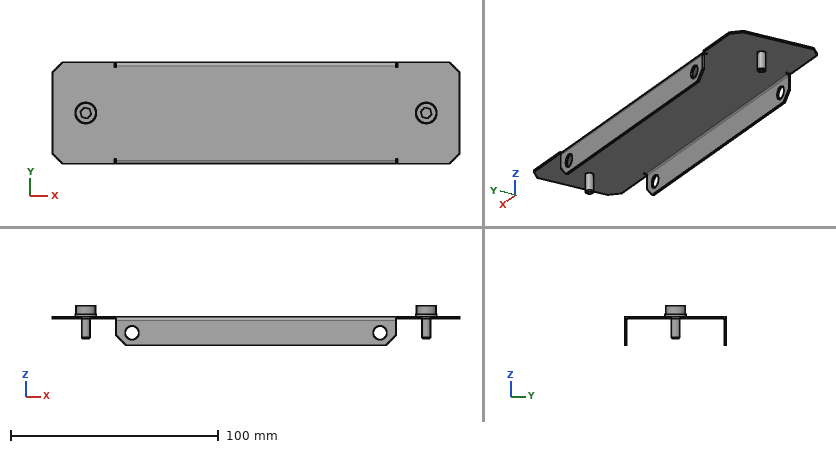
import cadquery as cq
import math

plate_length = 196.0
plate_width = 49.0
sheet_thickness = 1.0
plate_corner_chamfer = 4.9

flange_length = 134.8
flange_height = 14.0
flange_corner_chamfer = 4.9
bend_inner_radius = 0.8
bend_outer_radius = bend_inner_radius + sheet_thickness

relief_slit_width = 0.5
relief_slit_depth = 2.4

flange_hole_diameter = 6.5
flange_hole_spacing = 119.4
flange_hole_drop = 7.8

screw_spacing = 163.9
shank_diameter = 4.1
shank_length = 11.8
shank_tip_chamfer = 0.5
head_diameter = 9.6
head_height = 4.1
socket_across_flats = 4.7
socket_depth = 3.0
socket_turn = 45.0

washer_diameter = 10.2
washer_thickness = 1.2

screw_positions = [(-screw_spacing / 2, 0), (screw_spacing / 2, 0)]


def make_flat_sheet():
    """Flat sheet with chamfered corners and a bore for each screw."""
    return (
        cq.Workplane("XY")
        .box(plate_length, plate_width, sheet_thickness, centered=(True, True, False))
        .translate((0, 0, -sheet_thickness))
        .edges("|Z")
        .chamfer(plate_corner_chamfer)
        .faces(">Z")
        .workplane(origin=(0, 0, 0))
        .pushPoints(screw_positions)
        .hole(shank_diameter)
    )


def make_bend_clearance(side):
    """Edge strip given up to the bend, with a relief slit at each end."""
    edge_y = side * plate_width / 2
    strip = cq.Workplane("XY").box(flange_length, 2 * bend_outer_radius, 2 * sheet_thickness)
    slit_offset = (flange_length + relief_slit_width) / 2
    slits = (
        cq.Workplane("XY")
        .pushPoints([(-slit_offset, 0), (slit_offset, 0)])
        .box(relief_slit_width, 2 * relief_slit_depth, 2 * sheet_thickness)
    )
    return strip.union(slits).translate((0, edge_y, -sheet_thickness / 2))


def make_flange():
    """Bend and downward flange along the -Y edge, with clipped corners and two holes."""
    outer_y = -plate_width / 2
    inner_y = outer_y + sheet_thickness
    bend_y = outer_y + bend_outer_radius
    bend_z = -bend_outer_radius
    diagonal = math.sqrt(0.5)
    flange = (
        cq.Workplane("YZ")
        .moveTo(bend_y, 0)
        .threePointArc(
            (bend_y - bend_outer_radius * diagonal, bend_z + bend_outer_radius * diagonal),
            (outer_y, bend_z),
        )
        .lineTo(outer_y, -flange_height)
        .lineTo(inner_y, -flange_height)
        .lineTo(inner_y, bend_z)
        .threePointArc(
            (bend_y - bend_inner_radius * diagonal, bend_z + bend_inner_radius * diagonal),
            (bend_y, -sheet_thickness),
        )
        .close()
        .extrude(flange_length / 2, both=True)
        .faces("<X or >X")
        .edges("<Z")
        .chamfer(flange_corner_chamfer)
    )
    holes = (
        cq.Workplane("XZ", origin=(0, 0, -flange_hole_drop))
        .pushPoints([(-flange_hole_spacing / 2, 0), (flange_hole_spacing / 2, 0)])
        .circle(flange_hole_diameter / 2)
        .extrude(plate_width)
    )
    return flange.cut(holes)


def make_plate():
    """Sheet with both flanges, the +Y one mirrored from the -Y one."""
    plate = make_flat_sheet()
    front_flange = make_flange()
    for side, flange in ((-1, front_flange), (1, front_flange.mirror("XZ"))):
        plate = plate.cut(make_bend_clearance(side)).union(flange)
    return plate


def make_washer():
    """Plain ring around the shank, resting on the plate."""
    return (
        cq.Workplane("XY")
        .circle(washer_diameter / 2)
        .circle(shank_diameter / 2)
        .extrude(washer_thickness)
    )


def make_screw():
    """Socket head screw whose head rests on the washer."""
    shank = (
        cq.Workplane("XY")
        .circle(shank_diameter / 2)
        .extrude(-shank_length)
        .faces("<Z")
        .chamfer(shank_tip_chamfer)
    )
    head = cq.Workplane("XY").circle(head_diameter / 2).extrude(head_height)
    socket_corner_diameter = socket_across_flats / math.cos(math.pi / 6)
    socket = (
        cq.Workplane("XY")
        .polygon(6, socket_corner_diameter)
        .extrude(socket_depth)
        .rotate((0, 0, 0), (0, 0, 1), socket_turn)
        .translate((0, 0, head_height - socket_depth))
    )
    return head.union(shank).cut(socket).translate((0, 0, washer_thickness))


plate = make_plate()
washers = []
screws = []
for x, y in screw_positions:
    washers.append(make_washer().translate((x, y, 0)).solids().val())
    screws.append(make_screw().translate((x, y, 0)).solids().val())

result = cq.Compound.makeCompound([plate.solids().val(), *washers, *screws])